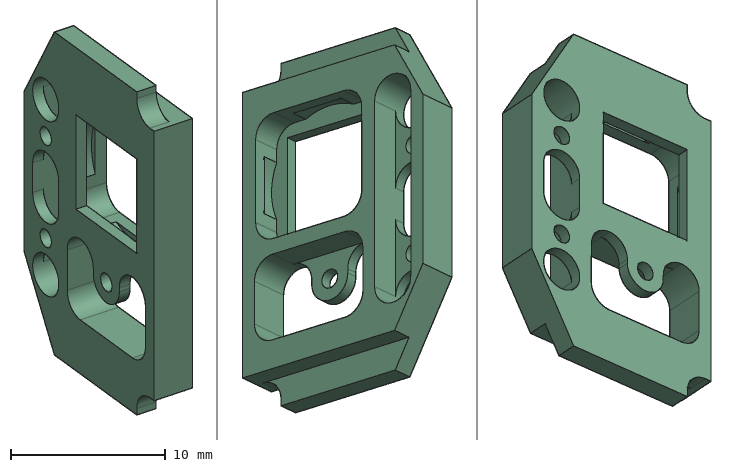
import cadquery as cq
import math

width = 15.0
thickness = 3.0
height = 24.0
bevel_width = 3.5
bevel_angle = 60.0
step_height = 2.0
step_thickness = 1.5
notch_size = 2.0
hole_diameter = 3.0
corner_radius = hole_diameter / 2
skin = 0.85

column_x = -5.0
column_length = 16.0
column_slot_length = 5.2
screw_diameter = 1.3
screw_offset = 3.8

main_x = 2.0
window_z = 3.5
window_size = 7.0
window_cavity_size = 8.8
ring_diameter = 9.67
ring_depth = 1.27

opening_width = 9.0
opening_height = 6.0
opening_z = -5.0

front = -thickness / 2
ear_z = -screw_offset


def plane_at(depth):
    """XZ sketch plane at a depth behind the front face; negative extrusion goes rearward."""
    return cq.Workplane("XZ", origin=(0, front + depth, 0))


def block(x, z, size_x, size_z, depth, length):
    return plane_at(depth).center(x, z).rect(size_x, size_z).extrude(-length)


def rounded_block(x, z, size_x, size_z, depth, length):
    return block(x, z, size_x, size_z, depth, length).edges("|Y").fillet(corner_radius)


def cylinder(x, z, diameter, depth, length):
    return plane_at(depth).center(x, z).circle(diameter / 2).extrude(-length)


def upright_slot(x, z, length, depth, cut_length):
    return plane_at(depth).center(x, z).slot2D(length, hole_diameter, 90).extrude(-cut_length)


def make_plate():
    bevel_height = bevel_width * math.tan(math.radians(bevel_angle))
    left, right, top = -width / 2, width / 2, height / 2
    outline = [
        (left + bevel_width, top),
        (right, top),
        (right, -top),
        (left + bevel_width, -top),
        (left, -top + bevel_height),
        (left, top - bevel_height),
    ]
    plate = plane_at(0).polyline(outline).close().extrude(-thickness)
    for side in (1, -1):
        step_z = side * (top - step_height / 2)
        plate = plate.cut(block(0, step_z, width, step_height, thickness - step_thickness, step_thickness))
        notch = rounded_block(right, side * top, 2 * notch_size, 2 * notch_size, 0, thickness)
        plate = plate.cut(notch)
    return plate


def cut_hole_column(plate):
    plate = plate.cut(upright_slot(column_x, 0, column_length, skin, thickness - skin))
    plate = plate.cut(upright_slot(column_x, 0, column_slot_length, 0, thickness))
    hole_offset = column_length / 2 - corner_radius
    for side in (1, -1):
        plate = plate.cut(cylinder(column_x, side * hole_offset, hole_diameter, 0, thickness))
        plate = plate.cut(cylinder(column_x, side * screw_offset, screw_diameter, 0, thickness))
    return plate


def cut_window(plate):
    cavity_length = thickness - skin
    plate = plate.cut(block(main_x, window_z, window_size, window_size, 0, thickness))
    plate = plate.cut(
        rounded_block(main_x, window_z, window_cavity_size, window_cavity_size, skin, cavity_length)
    )
    return plate.cut(cylinder(main_x, window_z, ring_diameter, skin, ring_depth))


def cut_lower_opening(plate):
    plate = plate.cut(rounded_block(main_x, opening_z, opening_width, opening_height, 0, thickness))
    opening_top = opening_z + opening_height / 2
    ear_stem = block(main_x, (opening_top + ear_z) / 2, hole_diameter, opening_top - ear_z, 0, skin)
    ear = ear_stem.union(cylinder(main_x, ear_z, hole_diameter, 0, skin))
    lobe_z = opening_top - corner_radius
    for side in (1, -1):
        lobe_x = main_x + side * hole_diameter
        corner = block(
            lobe_x - side * corner_radius / 2,
            lobe_z + corner_radius / 2,
            corner_radius,
            corner_radius,
            0,
            skin,
        )
        ear = ear.union(corner.cut(cylinder(lobe_x, lobe_z, hole_diameter, 0, skin)))
    ear = ear.cut(cylinder(main_x, ear_z, screw_diameter, 0, skin))
    return plate.union(ear)


result = cut_lower_opening(cut_window(cut_hole_column(make_plate())))